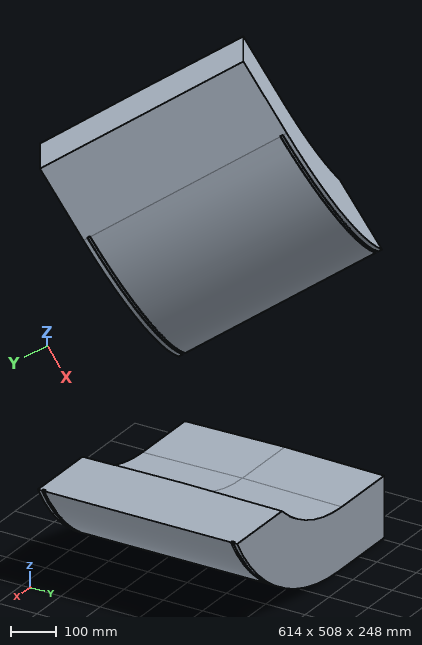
import cadquery as cq
import math

length = 614.0
width = 508.0
height = 248.0
edge_thickness = 151.5
crown_rise = 3.5
top_straight = 177.0
top_radius = 373.0
under_straight = 191.5
groove_width = 6.0
groove_depth = 5.5
groove_inset = 13.5

under_run = length - under_straight
under_radius = (under_run**2 + height**2) / (2 * height)


def bend_points(start_x, start_z, radius):
    """Middle and end of an arc that leaves (start_x, start_z) level and rises to the top face."""
    end_angle = math.acos(1 - (height - start_z) / radius)
    return [
        (start_x + radius * math.sin(angle), start_z + radius * (1 - math.cos(angle)))
        for angle in (end_angle / 2, end_angle)
    ]


under_middle, under_end = bend_points(under_straight, 0, under_radius)


def section(y, thickness):
    """Closed side outline of the bent slab at position y."""
    top_middle, top_end = bend_points(top_straight, thickness, top_radius)
    return (
        cq.Workplane("XZ", origin=(0, y, 0))
        .lineTo(under_straight, 0)
        .threePointArc(under_middle, under_end)
        .lineTo(*top_end)
        .threePointArc(top_middle, (top_straight, thickness))
        .lineTo(0, thickness)
        .close()
        .val()
    )


def half_slab(side):
    """Ruled half from the middle ridge to one side, side being -1 or 1."""
    ridge = section(0, edge_thickness + crown_rise)
    edge = section(side * width / 2, edge_thickness)
    return cq.Workplane(obj=cq.Solid.makeLoft([ridge, edge], True))


def groove(side):
    """Cutter for a narrow groove along the curved underside near one side."""
    floor_radius = under_radius - groove_depth
    floor_middle, floor_end = bend_points(under_straight, groove_depth, floor_radius)
    centre_y = side * (width / 2 - groove_inset)
    return (
        cq.Workplane("XZ", origin=(0, centre_y, 0))
        .moveTo(under_straight, groove_depth)
        .threePointArc(floor_middle, floor_end)
        .lineTo(*under_end)
        .threePointArc(under_middle, (under_straight, 0))
        .close()
        .extrude(groove_width / 2, both=True)
    )


result = half_slab(-1).union(half_slab(1))
for side in (-1, 1):
    result = result.cut(groove(side))